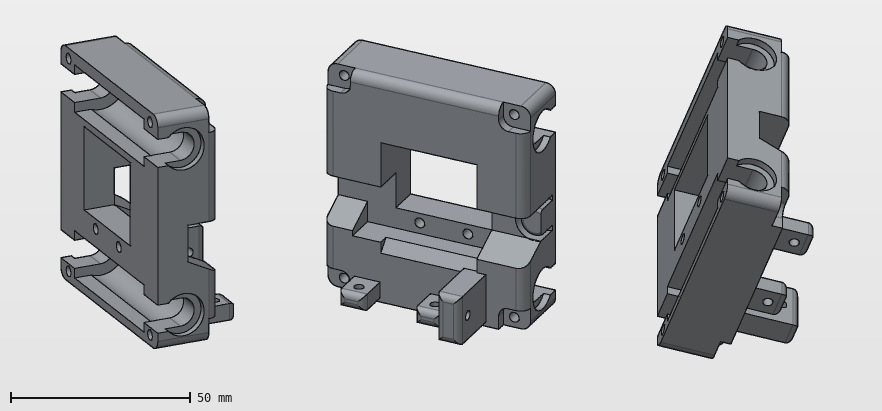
import cadquery as cq


width = 63.0
height = 70.2
depth = 18.8
corner_radius = 3.0
top, bottom = height / 2, -height / 2
left, right = -width / 2, width / 2

screw_recess_width = 8.4
screw_recess_height = 7.15
screw_recess_floor = depth - corner_radius
screw_hole_diameter = 3.0
screw_hole_x = right - 5.05
screw_hole_z = top - 3.15

channel_axis_y = 8.0
channel_spacing = 49.8
lower_channel_z = bottom + 9.7
channel_heights = (lower_channel_z, lower_channel_z + channel_spacing)
shaft_radius = 4.2
bearing_radius = 7.65
bearing_length = 45.0
bearing_mouth = 14.2
seal_radius = 6.3
seal_depth = 2.1

window_width = 29.8
window_height = 25.0
window_x = -1.3
window_top = top - 19.95
window_bottom = window_top - window_height
window_left = window_x - window_width / 2
window_right = window_x + window_width / 2
pair_hole_diameter = 3.0
pair_hole_spacing = 14.95
pair_hole_z = window_bottom - 3.0

notch_floor_y = 9.35
notch_top = top - 33.9
notch_drop = 4.8
shelf_z = window_bottom - 6.4
shelf_right = right - 9.1
outlet_drop = 9.8

tie_axis_x = left + 2.05
tie_axis_z = (notch_top + window_bottom) / 2
tie_core_radius = 4.4
tie_thickness = 1.5
tie_front_y = 2.1
tie_core_rounding = 1.0

tab_bottom = bottom + 1.3
tab_rounding = 2.0
tall_tab_left = left + 12.4
tall_tab_width = 7.15
tall_tab_height = 14.95
tall_tab_end = 35.3
tall_tab_hole_y = 30.1
short_tab_lefts = (left + 21.6, left + 45.3)
short_tab_width = 8.0
short_tab_height = 5.0
short_tab_end = 28.8
short_tab_hole_y = 24.0
tab_hole_diameter = 2.8


def block(x0, x1, y0, y1, z0, z1):
    """A box between two X, two Y and two Z positions."""
    return cq.Workplane("XY").box(x1 - x0, y1 - y0, z1 - z0, centered=False).translate((x0, y0, z0))


def rod_x(radius, x0, x1, y, z):
    """A cylinder parallel to X."""
    return cq.Workplane("YZ", origin=(x0, y, z)).circle(radius).extrude(x1 - x0)


def rod_y(radius, y0, y1, x, z):
    """A cylinder parallel to Y."""
    return cq.Workplane("XZ", origin=(x, y0, z)).circle(radius).extrude(y0 - y1)


def rod_z(radius, z0, z1, x, y):
    """A cylinder parallel to Z."""
    return cq.Workplane("XY", origin=(x, y, z0)).circle(radius).extrude(z1 - z0)


def make_body():
    """Rounded plate whose back edges are rounded at the top and the sides."""
    outline = block(left, right, 0, depth, bottom, top).edges("|Y").fillet(corner_radius)
    rounded_back = block(left, right, 0, depth, bottom, top)
    rounded_back = rounded_back.faces(">Y").edges("|Z or >Z").fillet(corner_radius)
    front_part = outline.intersect(block(left, right, 0, screw_recess_floor, bottom, top))
    flange = rounded_back.intersect(block(left, right, screw_recess_floor, depth, bottom, top))
    for side in (-1, 1):
        for end in (-1, 1):
            recess = (
                block(
                    -screw_recess_width, screw_recess_width,
                    screw_recess_floor, depth,
                    -screw_recess_height, screw_recess_height,
                )
                .edges("|Y")
                .fillet(corner_radius)
                .translate((side * right, 0, end * top))
            )
            flange = flange.cut(recess)
    return front_part.union(flange)


def bearing_channel(z):
    """Shaft slot with a bearing trough in the middle and a seal pocket at each end."""
    channel = cq.Workplane("XY")
    shaft_slot = (shaft_radius, width, 2 * shaft_radius)
    bearing_trough = (bearing_radius, bearing_length, bearing_mouth)
    for radius, length, mouth in (shaft_slot, bearing_trough):
        channel = channel.union(rod_x(radius, -length / 2, length / 2, channel_axis_y, z))
        channel = channel.union(
            block(-length / 2, length / 2, 0, channel_axis_y, z - mouth / 2, z + mouth / 2)
        )
    for pocket_left in (left, right - seal_depth):
        channel = channel.union(
            rod_x(seal_radius, pocket_left, pocket_left + seal_depth, channel_axis_y, z)
        )
    return channel


def back_notch():
    """Notch across the full width, with a shelf and a steeper outlet below the window."""
    notch = (
        cq.Workplane("YZ", origin=(left, 0, 0))
        .moveTo(notch_floor_y, notch_top)
        .lineTo(depth, notch_top)
        .lineTo(depth, window_bottom - notch_drop)
        .lineTo(notch_floor_y, window_bottom)
        .close()
        .extrude(width)
    )
    shelf = block(window_left, shelf_right, notch_floor_y, depth, shelf_z, window_bottom)
    outlet = (
        cq.Workplane("YZ", origin=(window_left, 0, 0))
        .moveTo(notch_floor_y, window_bottom)
        .lineTo(depth, window_bottom)
        .lineTo(depth, window_bottom - outlet_drop)
        .close()
        .extrude(window_width)
    )
    return notch.union(shelf).union(outlet)


def tie_groove():
    """Ring-shaped groove that leaves a core with a rounded back edge."""
    groove = rod_y(tie_core_radius + tie_thickness, tie_front_y, notch_floor_y, tie_axis_x, tie_axis_z)
    core = rod_y(tie_core_radius, tie_front_y, notch_floor_y, tie_axis_x, tie_axis_z)
    return groove.cut(core.faces(">Y").edges().fillet(tie_core_rounding))


def tab(x, tab_width, tab_height, end):
    """Block on the back with rounded end edges."""
    blank = block(x, x + tab_width, screw_recess_floor, end, tab_bottom, tab_bottom + tab_height)
    return blank.faces(">Y").edges().fillet(tab_rounding)


result = make_body()
for channel_z in channel_heights:
    result = result.cut(bearing_channel(channel_z))
result = result.cut(block(window_left, window_right, 0, depth, window_bottom, window_top))
result = result.cut(back_notch()).cut(tie_groove())

for hole_x in (-screw_hole_x, screw_hole_x):
    for hole_z in (-screw_hole_z, screw_hole_z):
        result = result.cut(rod_y(screw_hole_diameter / 2, 0, depth, hole_x, hole_z))
for hole_x in (window_x - pair_hole_spacing / 2, window_x + pair_hole_spacing / 2):
    result = result.cut(rod_y(pair_hole_diameter / 2, 0, depth, hole_x, pair_hole_z))

tall_tab_right = tall_tab_left + tall_tab_width
tall_tab_hole_z = tab_bottom + tall_tab_height / 2
tall_tab = tab(tall_tab_left, tall_tab_width, tall_tab_height, tall_tab_end)
tall_tab = tall_tab.cut(
    rod_x(tab_hole_diameter / 2, tall_tab_left, tall_tab_right, tall_tab_hole_y, tall_tab_hole_z)
)
result = result.union(tall_tab)

short_tab_top = tab_bottom + short_tab_height
for tab_left in short_tab_lefts:
    short_tab = tab(tab_left, short_tab_width, short_tab_height, short_tab_end)
    tab_middle = tab_left + short_tab_width / 2
    short_tab = short_tab.cut(
        rod_z(tab_hole_diameter / 2, tab_bottom, short_tab_top, tab_middle, short_tab_hole_y)
    )
    result = result.union(short_tab)